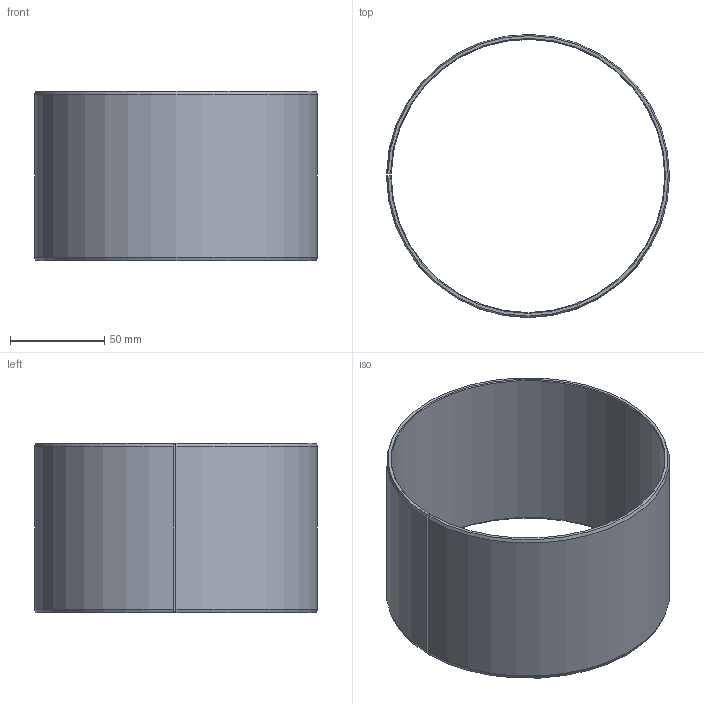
import cadquery as cq
import math

outer_diameter = 150.0
wall_thickness = 2.5
length = 90.0

outer_chamfer_height = 1.8
outer_chamfer_angle = 20.0

bore_chamfer_height = 0.6
bore_chamfer_depth = 0.35

slit_width = 1.3

outer_radius = outer_diameter / 2
inner_radius = outer_radius - wall_thickness
half_length = length / 2
outer_chamfer_depth = outer_chamfer_height * math.tan(math.radians(outer_chamfer_angle))


def make_bush():
    """Revolve the wall section, chamfered at all four corners, about Z."""
    rim_outer_radius = outer_radius - outer_chamfer_depth
    rim_inner_radius = inner_radius + bore_chamfer_depth
    outer_chamfer_start = half_length - outer_chamfer_height
    bore_chamfer_start = half_length - bore_chamfer_height
    wall_section = [
        (rim_inner_radius, -half_length),
        (rim_outer_radius, -half_length),
        (outer_radius, -outer_chamfer_start),
        (outer_radius, outer_chamfer_start),
        (rim_outer_radius, half_length),
        (rim_inner_radius, half_length),
        (inner_radius, bore_chamfer_start),
        (inner_radius, -bore_chamfer_start),
    ]
    return cq.Workplane("XZ").polyline(wall_section).close().revolve(360, (0, 0), (0, 1))


def make_slit():
    """Block that cuts through the -X wall over the full length."""
    block = cq.Workplane("XY").box(outer_radius, slit_width, length, centered=(False, False, True))
    return block.translate((-outer_radius, 0, 0))


result = make_bush().cut(make_slit())